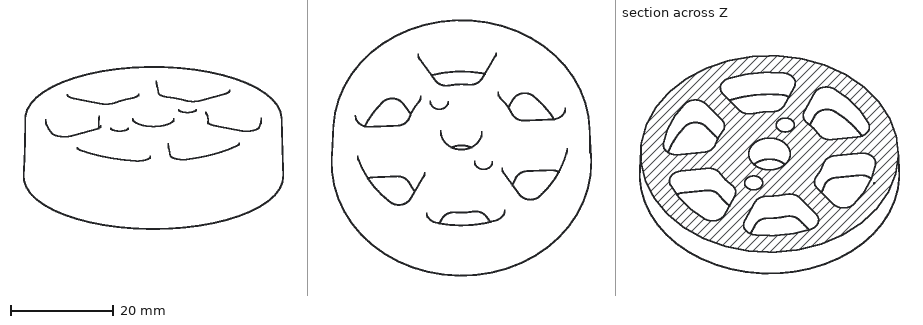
import cadquery as cq
import math

outer_radius = 25.4
height = 12.7
rim_draft_angle = 1.5
edge_radius = 0.25

hub_hole_radius = 4.0
bolt_hole_radius = 1.75
bolt_circle_radius = 8.0

window_count = 6
window_inner_radius = 10.65
window_outer_radius = 21.05
spoke_half_width = 1.95
window_corner_radius = 2.55
window_draft_angle = 2.0


def make_body():
    """Solid disc with a drafted rim, widest just above the bottom rounding."""
    draft = math.radians(rim_draft_angle)
    bottom_radius = outer_radius + edge_radius * (math.tan(draft) + 1 / math.cos(draft) - 1)
    top_radius = bottom_radius - height * math.tan(draft)
    half_section = [(0, 0), (bottom_radius, 0), (top_radius, height), (0, height)]
    disc = cq.Workplane("XZ").polyline(half_section).close().revolve()
    return disc.faces("<Z").edges().fillet(edge_radius)


def make_window():
    """Window cutter on the +X axis, narrowing downward, with rounded corners."""
    draft_run = height * math.tan(math.radians(window_draft_angle))
    ring_section = [
        (window_inner_radius, height),
        (window_outer_radius, height),
        (window_outer_radius - draft_run, 0),
        (window_inner_radius + draft_run, 0),
    ]
    ring = cq.Workplane("XZ").polyline(ring_section).close().revolve(360, (0, 0), (0, 1))

    half_pitch = math.pi / window_count
    wedge_tip = spoke_half_width / math.sin(half_pitch)
    wedge_reach = 2 * outer_radius
    half_spread = (wedge_reach - wedge_tip) * math.tan(half_pitch)
    wedge = (
        cq.Workplane("XY", origin=(0, 0, height))
        .polyline([(wedge_tip, 0), (wedge_reach, -half_spread), (wedge_reach, half_spread)])
        .close()
        .extrude(-height, taper=window_draft_angle)
    )

    sharp_window = ring.intersect(wedge)
    return sharp_window.edges("not(<Z or >Z)").fillet(window_corner_radius)


body = make_body()

window = make_window()
for index in range(window_count):
    body = body.cut(window.rotate((0, 0, 0), (0, 0, 1), index * 360 / window_count))

top_face = body.faces(">Z").workplane(origin=(0, 0, height))
body = top_face.circle(hub_hole_radius).cutThruAll()

bolt_points = [(0, bolt_circle_radius), (0, -bolt_circle_radius)]
top_face = body.faces(">Z").workplane(origin=(0, 0, height))
body = top_face.pushPoints(bolt_points).circle(bolt_hole_radius).cutThruAll()

result = body.faces(">Z").edges().fillet(edge_radius)